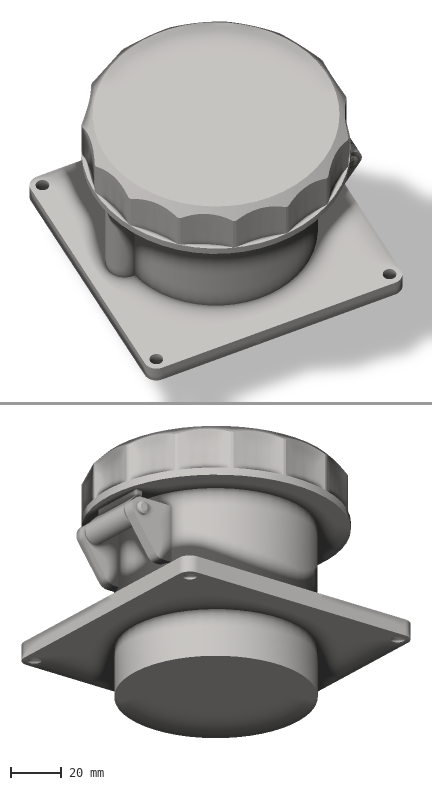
import cadquery as cq
import math

PLATE_SIDE = 112.0
PLATE_BOTTOM = 20.0
PLATE_THICKNESS = 7.0
PLATE_CORNER_RADIUS = 5.0
SCREW_HOLE_DIAMETER = 5.4
SCREW_HOLE_SPACING = 101.9

BODY_RADIUS = 40.0
BOSS_RADIUS = 7.6

TOTAL_HEIGHT = 95.0
CAP_HEIGHT = 23.0
RIM_RADIUS = 53.0
RIM_HEIGHT = 3.1
GRIP_RADIUS = 52.8
CAP_CHAMFER = 4.3
SCALLOP_COUNT = 15
SCALLOP_DEPTH = 2.1
RIDGE_WIDTH = 1.2

PIN_Y = 50.1
PIN_Z = 61.4
KNUCKLE_RADIUS = 4.7
PIN_LENGTH = 39.9
PIN_RADIUS = 2.7
PIN_END_RADIUS = 1.7
PIN_TAPER_LENGTH = 0.6
LUG_INNER_X = 13.5
LUG_THICKNESS = 4.8
LUG_ROOT_Y = 33.6
LUG_BOTTOM = 42.0
LUG_HEEL_Y = 42.2
LUG_HEEL_RADIUS = 5.0
ARM_WIDTH = 24.9
ARM_OUTER_Y = 48.4
ARM_THICKNESS = 2.7

PLATE_TOP = PLATE_BOTTOM + PLATE_THICKNESS
CAP_BOTTOM = TOTAL_HEIGHT - CAP_HEIGHT
RIM_TOP = CAP_BOTTOM + RIM_HEIGHT


def cylinder(radius, bottom, top, y=0.0):
    """Vertical cylinder with its axis in the X = 0 plane."""
    return cq.Workplane("XY").workplane(offset=bottom).center(0, y).circle(radius).extrude(top - bottom)


def mounting_plate():
    plate = (
        cq.Workplane("XY")
        .workplane(offset=PLATE_BOTTOM)
        .rect(PLATE_SIDE, PLATE_SIDE)
        .extrude(PLATE_THICKNESS)
        .edges("|Z")
        .fillet(PLATE_CORNER_RADIUS)
    )
    return (
        plate.faces(">Z")
        .workplane()
        .rect(SCREW_HOLE_SPACING, SCREW_HOLE_SPACING, forConstruction=True)
        .vertices()
        .hole(SCREW_HOLE_DIAMETER)
    )


def boss():
    height = CAP_BOTTOM - PLATE_TOP
    sides = (
        cq.Workplane("XY")
        .workplane(offset=PLATE_TOP)
        .center(0, -BODY_RADIUS / 2)
        .rect(2 * BOSS_RADIUS, BODY_RADIUS)
        .extrude(height)
    )
    return cylinder(BOSS_RADIUS, PLATE_TOP, CAP_BOTTOM, -BODY_RADIUS).union(sides)


def cap():
    grip = cylinder(GRIP_RADIUS, RIM_TOP, TOTAL_HEIGHT).faces(">Z").chamfer(CAP_CHAMFER)

    pitch = 360 / SCALLOP_COUNT
    half_angle = math.radians(pitch / 2) - RIDGE_WIDTH / 2 / GRIP_RADIUS
    half_chord = GRIP_RADIUS * math.sin(half_angle)
    sagitta = GRIP_RADIUS * math.cos(half_angle) - (GRIP_RADIUS - SCALLOP_DEPTH)
    cutter_radius = (half_chord**2 + sagitta**2) / (2 * sagitta)
    cutter_y = GRIP_RADIUS - SCALLOP_DEPTH + cutter_radius
    cutter = cylinder(cutter_radius, RIM_TOP, TOTAL_HEIGHT, cutter_y)
    for index in range(SCALLOP_COUNT):
        grip = grip.cut(cutter.rotate((0, 0, 0), (0, 0, 1), index * pitch))

    return grip.union(cylinder(RIM_RADIUS, CAP_BOTTOM, RIM_TOP))


def across_x(start_x):
    """Workplane with local axes Y and Z that extrudes toward +X."""
    return cq.Workplane("YZ").workplane(offset=start_x)


def lug(start_x):
    to_pin_y = PIN_Y - LUG_HEEL_Y
    to_pin_z = PIN_Z - LUG_BOTTOM
    slope = math.atan2(to_pin_z, to_pin_y) - math.asin(KNUCKLE_RADIUS / math.hypot(to_pin_y, to_pin_z))
    tangent_y = PIN_Y + KNUCKLE_RADIUS * math.sin(slope)
    tangent_z = PIN_Z - KNUCKLE_RADIUS * math.cos(slope)
    heel_run = LUG_HEEL_RADIUS * math.tan(slope / 2)
    return (
        across_x(start_x)
        .moveTo(LUG_ROOT_Y, LUG_BOTTOM)
        .lineTo(LUG_HEEL_Y - heel_run, LUG_BOTTOM)
        .threePointArc(
            (
                LUG_HEEL_Y - heel_run + LUG_HEEL_RADIUS * math.sin(slope / 2),
                LUG_BOTTOM + LUG_HEEL_RADIUS * (1 - math.cos(slope / 2)),
            ),
            (LUG_HEEL_Y + heel_run * math.cos(slope), LUG_BOTTOM + heel_run * math.sin(slope)),
        )
        .lineTo(tangent_y, tangent_z)
        .threePointArc(
            (PIN_Y + KNUCKLE_RADIUS * math.cos(slope / 2), PIN_Z + KNUCKLE_RADIUS * math.sin(slope / 2)),
            (PIN_Y, PIN_Z + KNUCKLE_RADIUS),
        )
        .lineTo(LUG_ROOT_Y, PIN_Z + KNUCKLE_RADIUS)
        .close()
        .extrude(LUG_THICKNESS)
    )


def hinge_arm():
    start_x = -ARM_WIDTH / 2
    tangent_offset = KNUCKLE_RADIUS * math.sqrt(0.5)
    tangent_y = PIN_Y + tangent_offset
    tangent_z = PIN_Z + tangent_offset
    knuckle = across_x(start_x).center(PIN_Y, PIN_Z).circle(KNUCKLE_RADIUS).extrude(ARM_WIDTH)
    tab = (
        across_x(start_x)
        .moveTo(PIN_Y, PIN_Z)
        .lineTo(tangent_y, tangent_z)
        .lineTo(ARM_OUTER_Y, tangent_z + tangent_y - ARM_OUTER_Y)
        .lineTo(ARM_OUTER_Y, CAP_BOTTOM)
        .lineTo(ARM_OUTER_Y - ARM_THICKNESS, CAP_BOTTOM)
        .lineTo(ARM_OUTER_Y - ARM_THICKNESS, PIN_Z)
        .close()
        .extrude(ARM_WIDTH)
    )
    return knuckle.union(tab)


def hinge_pin():
    half_length = PIN_LENGTH / 2
    taper_start = half_length - PIN_TAPER_LENGTH
    return (
        cq.Workplane("XY", origin=(0, PIN_Y, PIN_Z))
        .moveTo(-half_length, 0)
        .lineTo(-half_length, PIN_END_RADIUS)
        .lineTo(-taper_start, PIN_RADIUS)
        .lineTo(taper_start, PIN_RADIUS)
        .lineTo(half_length, PIN_END_RADIUS)
        .lineTo(half_length, 0)
        .close()
        .revolve(360, (0, 0, 0), (1, 0, 0))
    )


result = (
    cylinder(BODY_RADIUS, 0, CAP_BOTTOM)
    .union(mounting_plate())
    .union(boss())
    .union(cap())
    .union(lug(LUG_INNER_X))
    .union(lug(-LUG_INNER_X - LUG_THICKNESS))
    .union(hinge_arm())
    .union(hinge_pin())
)